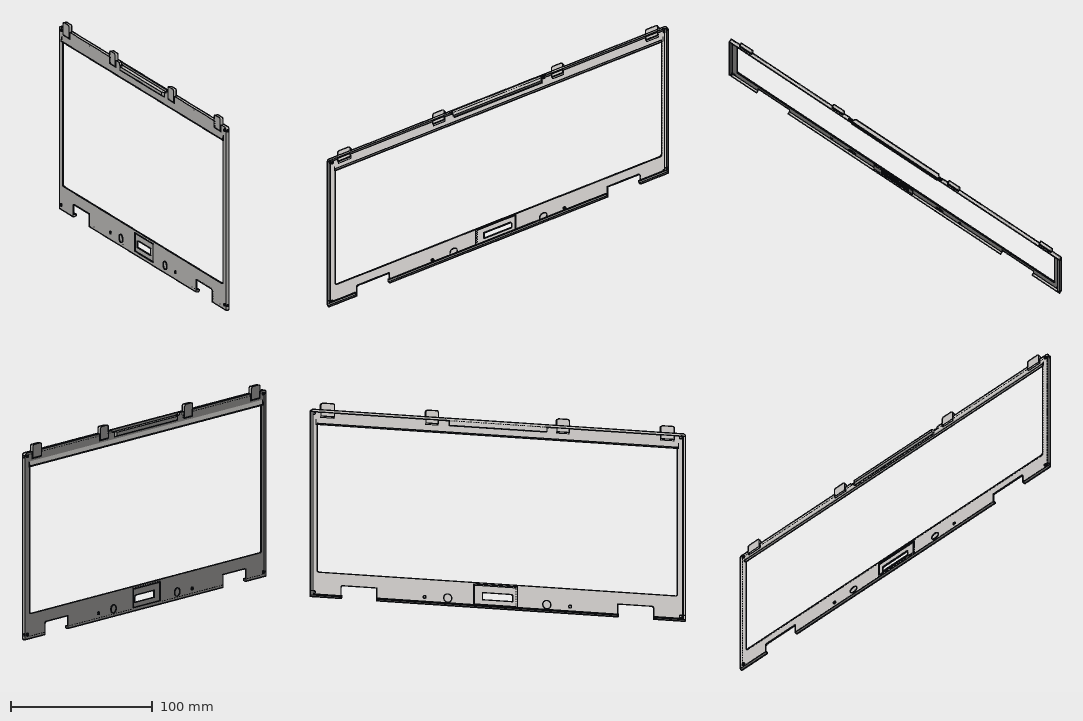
import cadquery as cq

frame_width = 280.67
frame_height = 134.3
frame_depth = 2.5
overall_depth = 4.0
overall_height = 139.33
top_corner_radius = 2.0
plate_thickness = 0.8
plate_back = frame_depth - plate_thickness
rim_wall = 1.7
front_edge_draft = 0.05
back_bottom_chamfer = 0.8

window_half_width = 134.9
window_bottom = 17.9
window_top = 124.7
window_corner_radius = 1.5

cutout_inner_x = 90.2
cutout_outer_x = 117.1
cutout_height = 9.3
cutout_corner_radius = 1.5

tab_spans = [(44.4, 53.7), (122.2, 132.3)]
tab_back = 1.0
tab_front = 3.3
tab_bottom = 130.0
tab_corner_radius = 1.5

ridge_half_length = 135.8
ridge_top = 127.5
ridge_front = 3.35
ridge_nose_radius = 0.8

bar_half_length = 36.4
bar_top = frame_height - rim_wall
bar_bottom = 129.2
bar_front_bottom = 130.0
bar_end_taper = 1.3
recess_half_length = 38.4
recess_end_slope = 1.2
recess_lip = 0.85

pocket_left = -14.0
pocket_right = 17.2
pocket_bottom = 2.5
pocket_top = 15.9
pocket_depth = 0.8
pocket_floor_thickness = 0.8
slot_half_width = 11.4
slot_bottom = 5.8
slot_top = 10.9
slot_corner_radius = 1.5

corner_hole_x = 137.4
corner_hole_heights = [3.4, 131.8]
lower_hole_x = 54.5
lower_hole_z = 5.2
pin_hole_diameter = 2.0
round_recess_x = 37.1
round_recess_z = 5.5
round_recess_diameter = 6.0
round_recess_depth = 0.5
side_hole_diameter = 1.6
side_hole_y = 0.95


def block(x_min, x_max, z_min, z_max, depth_start, depth_end):
    """Box between two depths measured forward from the back face."""
    size = (x_max - x_min, depth_end - depth_start, z_max - z_min)
    return cq.Workplane("XY").box(*size, centered=False).translate((x_min, -depth_end, z_min))


def cylinder(x, z, diameter, depth_start, depth_end):
    """Round plug along Y between two depths measured forward from the back face."""
    plane = cq.Workplane("XZ", origin=(0, -depth_start, 0))
    return plane.center(x, z).circle(diameter / 2).extrude(depth_end - depth_start)


def profile_along_x(points, half_length):
    """Prism along X from (depth, z) points, centred on the middle of the frame."""
    outline = [(-depth, z) for depth, z in points]
    return cq.Workplane("YZ", origin=(-half_length, 0, 0)).polyline(outline).close().extrude(2 * half_length)


def span(side, inner, outer):
    """Left and right X limits of a span mirrored to the given side."""
    return sorted((side * inner, side * outer))


def make_frame():
    half_width = frame_width / 2
    frame = block(-half_width, half_width, 0, frame_height, 0, frame_depth)
    frame = frame.edges("|Y and >Z").fillet(top_corner_radius)
    frame = frame.faces("<Y").edges().chamfer(front_edge_draft, plate_thickness)
    frame = frame.faces(">Y").edges("<Z").chamfer(back_bottom_chamfer)
    hollow_half_width = half_width - rim_wall
    hollow_top = frame_height - rim_wall
    frame = frame.cut(block(-hollow_half_width, hollow_half_width, rim_wall, hollow_top, 0, plate_back))
    window = block(-window_half_width, window_half_width, window_bottom, window_top, 0, frame_depth)
    return frame.cut(window.edges("|Y and <Z").fillet(window_corner_radius))


def make_cutout(side):
    left, right = span(side, cutout_inner_x, cutout_outer_x)
    cutout = block(left, right, 0, cutout_height, 0, frame_depth)
    outer_edge = ">X" if side > 0 else "<X"
    return cutout.edges("|Y and >Z").edges(outer_edge).fillet(cutout_corner_radius)


def make_tab(side, inner, outer):
    left, right = span(side, inner, outer)
    tab = block(left, right, tab_bottom, overall_height, tab_back, tab_front)
    tab = tab.edges("|Y and >Z").fillet(tab_corner_radius)
    wedge_depth = tab_front - frame_depth
    wedge = (
        cq.Workplane("YZ", origin=(left, 0, 0))
        .moveTo(-frame_depth, tab_bottom)
        .lineTo(-tab_front, tab_bottom)
        .lineTo(-frame_depth, tab_bottom - wedge_depth)
        .close()
        .extrude(right - left)
    )
    return tab.union(wedge)


def make_ridge():
    """Ridge sloping forward down to a rounded nose that hangs below the window's top edge."""
    nose_middle = ridge_front - ridge_nose_radius
    section = (
        cq.Workplane("YZ", origin=(-ridge_half_length, 0, 0))
        .moveTo(-frame_depth, ridge_top)
        .lineTo(-ridge_front, window_top)
        .threePointArc(
            (-nose_middle, window_top - ridge_nose_radius),
            (ridge_nose_radius - nose_middle, window_top),
        )
        .lineTo(ridge_nose_radius - nose_middle, ridge_top)
        .close()
    )
    return section.extrude(2 * ridge_half_length)


def make_recess():
    """Recess above the bar, with sloped ends, leaving a lip at the back of the rim."""
    end = recess_half_length + recess_end_slope
    outline = [
        (-recess_half_length, bar_top),
        (recess_half_length, bar_top),
        (end, frame_height),
        (-end, frame_height),
    ]
    recess = cq.Workplane("XZ", origin=(0, -recess_lip, 0)).polyline(outline).close()
    return recess.extrude(frame_depth - recess_lip)


def make_bar():
    """Bar joined to the rim, with a sloped underside and tapered ends."""
    section = [
        (0, bar_top),
        (overall_depth, bar_top),
        (overall_depth, bar_front_bottom),
        (frame_depth, bar_bottom),
        (0, bar_bottom),
    ]
    bar = profile_along_x(section, bar_half_length)
    front_length = bar_half_length - bar_end_taper
    plan = [
        (-bar_half_length, 0),
        (-bar_half_length, -frame_depth),
        (-front_length, -overall_depth),
        (front_length, -overall_depth),
        (bar_half_length, -frame_depth),
        (bar_half_length, 0),
    ]
    envelope = cq.Workplane("XY", origin=(0, 0, bar_bottom)).polyline(plan).close()
    return bar.intersect(envelope.extrude(bar_top - bar_bottom))


def make_side_hole(side, z):
    """Cross hole from the side edge to the axis of a corner hole."""
    reach = frame_width / 2 - corner_hole_x
    start = cq.Workplane("YZ", origin=(side * corner_hole_x, -side_hole_y, z))
    return start.circle(side_hole_diameter / 2).extrude(side * reach)


def make_pocket_backing():
    """Pad behind the plate that closes the label pocket."""
    pocket_floor = frame_depth - pocket_depth
    pad_back = pocket_floor - pocket_floor_thickness
    return block(
        pocket_left - pocket_floor_thickness,
        pocket_right + pocket_floor_thickness,
        pocket_bottom - pocket_floor_thickness,
        pocket_top + pocket_floor_thickness,
        pad_back,
        plate_back,
    )


def make_label_pocket():
    pocket_floor = frame_depth - pocket_depth
    pocket = block(pocket_left, pocket_right, pocket_bottom, pocket_top, pocket_floor, frame_depth)
    slot = block(-slot_half_width, slot_half_width, slot_bottom, slot_top, 0, frame_depth)
    slot = slot.edges("|Y and <X and >Z").fillet(slot_corner_radius)
    return pocket.union(slot)


result = make_frame().union(make_ridge()).cut(make_recess()).union(make_bar())
result = result.union(make_pocket_backing()).cut(make_label_pocket())

for side in (-1, 1):
    result = result.cut(make_cutout(side))
    for inner, outer in tab_spans:
        result = result.union(make_tab(side, inner, outer))
    for z in corner_hole_heights:
        result = result.cut(cylinder(side * corner_hole_x, z, pin_hole_diameter, 0, frame_depth))
        result = result.cut(make_side_hole(side, z))
    result = result.cut(cylinder(side * lower_hole_x, lower_hole_z, pin_hole_diameter, 0, frame_depth))
    recess_floor = frame_depth - round_recess_depth
    result = result.cut(
        cylinder(side * round_recess_x, round_recess_z, round_recess_diameter, recess_floor, frame_depth)
    )